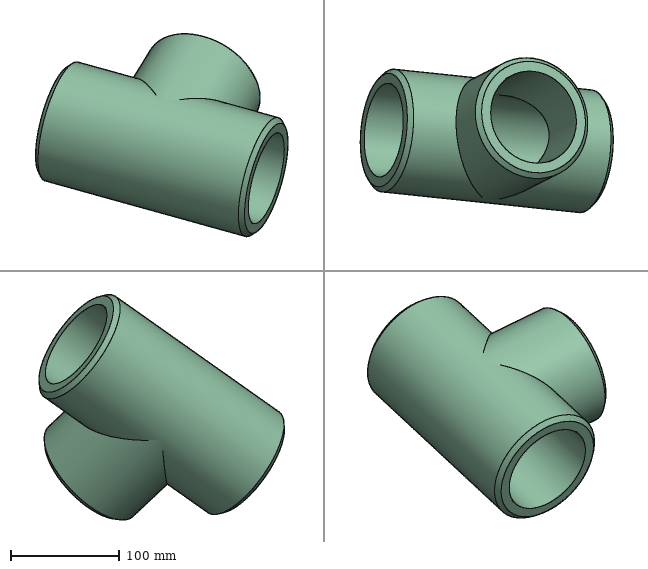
import cadquery as cq

run_length = 209.3
branch_length = run_length / 2
outer_diameter = 114.3
bore_diameter = 87.0
chamfer_length = 4.4
chamfer_depth = 4.4


def chamfered_half_profile(start, end, chamfer_start):
    """Half section of a pipe body in local (radius, axis) coordinates."""
    radius = outer_diameter / 2
    end_radius = radius - chamfer_depth
    points = [(0, start)]
    if chamfer_start:
        points += [(end_radius, start), (radius, start + chamfer_length)]
    else:
        points += [(radius, start)]
    points += [(radius, end - chamfer_length), (end_radius, end), (0, end)]
    return points


def pipe_body(start, end, chamfer_start):
    """Solid pipe body along Y, chamfered at its far end and optionally at its start."""
    profile = cq.Workplane("XY").polyline(chamfered_half_profile(start, end, chamfer_start)).close()
    return profile.revolve(360, (0, 0, 0), (0, 1, 0))


run = pipe_body(-run_length / 2, run_length / 2, True).rotate((0, 0, 0), (0, 0, 1), -90)
branch = pipe_body(0, branch_length, False)

run_bore = cq.Workplane("YZ").circle(bore_diameter / 2).extrude(run_length / 2, both=True)
branch_bore = cq.Workplane("XZ").circle(bore_diameter / 2).extrude(-branch_length)

result = run.union(branch).cut(run_bore).cut(branch_bore)